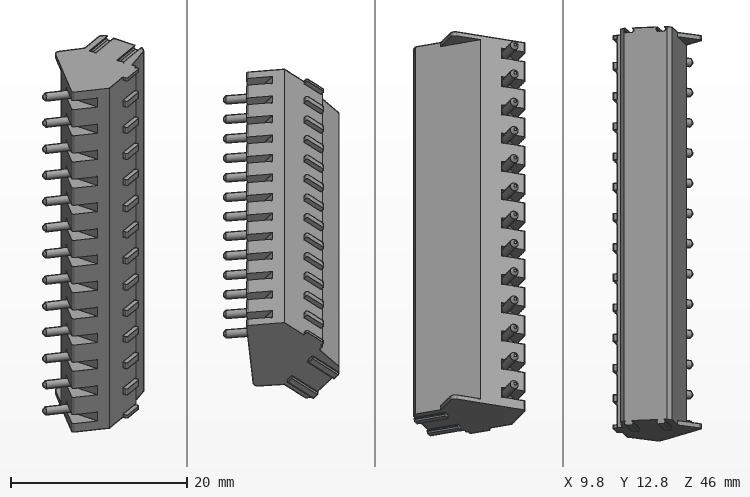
import cadquery as cq
import math

ways = 13
rail_height = 0.5
total_height = 46.0
body_height = total_height - rail_height
pitch = body_height / ways

back_y = 12.85
rear_x = 2.2
front_x = 9.25
tip_y = 0.55
tip_left_x = 6.0
tip_right_x = 6.35
tip_bulge = 0.07
front_corner_y = 3.5
nose_low_y = 6.35
nose_high_y = 7.1
nose_bulge = 0.15
shoulder_left_y = 9.25
shoulder_right_y = 9.1
shoulder_right_x = 8.7
back_left_x = 2.7
back_right_x = 7.7
back_bevel = 0.45
back_right_bevel_x = 8.2

cheek_thickness = 0.5

key_reach = 0.55
key_y_min = 6.35
key_y_max = 8.9
key_height = 0.8
key_radius = 0.2

rail_centres_x = (3.4, 7.15)
rail_narrow = 0.75
rail_wide = 1.0
rail_flank = 0.2
rail_length = 3.75
groove_clearance = 0.05

notch_height = 1.2
notch_floor_y = 2.55
pin_diameter = 0.95
pin_radius = pin_diameter / 2
pin_tip_bevel = 0.3
pin_angle = math.radians(45)
pin_cone_base_x = 2.65
pin_cone_base_y = pin_radius * math.sin(pin_angle)
pin_length = 5.5


def housing():
    """Full cross-section, trimmed flat at rear_x between the end cheeks."""
    tip_edge_y = tip_y + tip_bulge
    tip_middle = ((tip_left_x + tip_right_x) / 2, tip_y)
    nose_middle = (0, (nose_low_y + nose_high_y) / 2)
    front_and_back = [
        (front_x, front_corner_y),
        (front_x, shoulder_right_y),
        (shoulder_right_x, shoulder_right_y),
        (back_right_bevel_x, back_y - back_bevel),
        (back_right_x, back_y),
        (back_left_x, back_y),
        (rear_x, back_y - back_bevel),
        (rear_x, shoulder_left_y),
        (nose_bulge, nose_high_y),
    ]
    block = (
        cq.Workplane("XY")
        .moveTo(tip_left_x, tip_edge_y)
        .threePointArc(tip_middle, (tip_right_x, tip_edge_y))
        .polyline(front_and_back, includeCurrent=True)
        .threePointArc(nose_middle, (nose_bulge, nose_low_y))
        .close()
        .extrude(body_height)
    )
    trim_height = body_height - 2 * cheek_thickness
    trim = cq.Workplane("XY").box(rear_x, back_y, trim_height, centered=False)
    return block.cut(trim.translate((0, 0, cheek_thickness)))


def keys():
    """Rounded keys; the first and last are cut in half by the end faces."""
    key_y_length = key_y_max - key_y_min
    solids = cq.Workplane("XY")
    for boundary in range(ways + 1):
        z_low = max(boundary * pitch - key_height / 2, 0)
        z_high = min(boundary * pitch + key_height / 2, body_height)
        key = (
            cq.Workplane("XY")
            .box(2 * key_reach, key_y_length, z_high - z_low, centered=(True, False, False))
            .edges("|Z and >X")
            .fillet(key_radius)
            .translate((front_x, key_y_min, z_low))
        )
        solids = solids.add(key)
    return solids.combine()


def rail_bar(centre_x, top_z, clearance):
    """Eight-sided bar along Y, ending flush with the back face and hanging below top_z."""
    narrow = rail_narrow / 2 + clearance
    wide = rail_wide / 2 + clearance
    upper_z = top_z - rail_flank
    lower_z = top_z - rail_height + rail_flank
    bottom_z = top_z - rail_height
    profile = [
        (centre_x - narrow, top_z),
        (centre_x + narrow, top_z),
        (centre_x + wide, upper_z),
        (centre_x + wide, lower_z),
        (centre_x + narrow, bottom_z),
        (centre_x - narrow, bottom_z),
        (centre_x - wide, lower_z),
        (centre_x - wide, upper_z),
    ]
    return cq.Workplane("XZ", origin=(0, back_y, 0)).polyline(profile).close().extrude(rail_length)


def notch(centre_z):
    """Slot across the board-side corner, with a floor square to Y."""
    block = cq.Workplane("XY").box(front_x, notch_floor_y, notch_height, centered=(False, False, True))
    return block.translate((0, 0, centre_z))


def pin(centre_z):
    """Round pin at 45 degrees with a bevelled tip, anchored in the housing."""
    cone_offset = pin_tip_bevel * math.cos(pin_angle)
    tip = (pin_cone_base_x - cone_offset, pin_cone_base_y - cone_offset, centre_z)
    plane = cq.Plane(origin=tip, xDir=(0, 0, 1), normal=(1, 1, 0))
    return cq.Workplane(plane).circle(pin_radius).extrude(pin_length).faces("<Y").chamfer(pin_tip_bevel)


result = housing().union(keys())
for x in rail_centres_x:
    result = result.union(rail_bar(x, 0, 0))
    result = result.cut(rail_bar(x, body_height, groove_clearance))
for way in range(ways):
    way_centre_z = (way + 0.5) * pitch
    result = result.cut(notch(way_centre_z)).union(pin(way_centre_z))